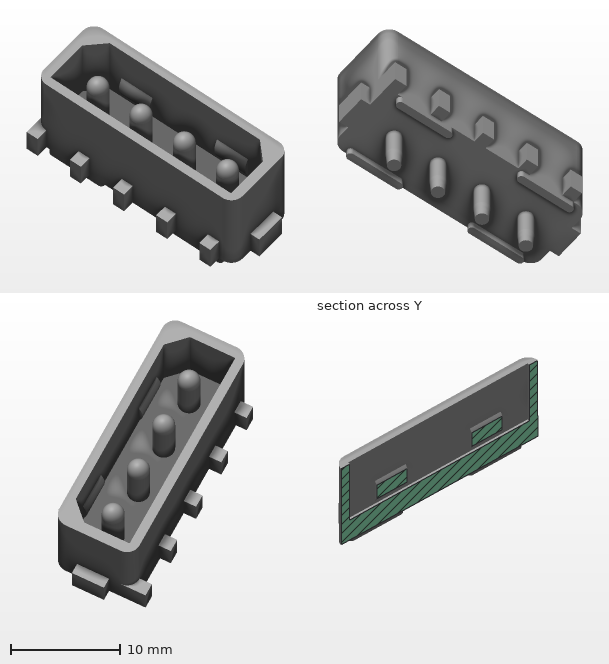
import cadquery as cq
import math

shroud_length = 23.32
shroud_width = 8.25
shroud_height = 9.5
corner_radius = 1.3
floor_thickness = 2.55

cavity_length = 21.23
cavity_width = 6.45
key_chamfer = 1.78

ear_reach = 1.05
ear_width = 3.3
tab_count = 5
tab_width = 1.3
tab_reach = 1.27

foot_length = 6.35
foot_width = 0.8
foot_height = 0.75
foot_offset_x = 7.0

latch_length = 3.63
latch_offset_x = 5.61
latch_radius = 2.0
latch_projection = 0.4
latch_center_z = 4.15

pin_count = 4
pitch = 5.08
contact_radius = 2.1 / 2
contact_center_z = 7.15
tail_radius = 0.8
tail_tip_radius = 0.65
tail_length = 4.22
tail_taper_length = 1.55
sleeve_radius = 3.23 / 2

pin_positions = [((i - (pin_count - 1) / 2) * pitch, 0) for i in range(pin_count)]


def make_shell():
    """Rounded block with the keyed cavity cut from the top."""
    shell = (
        cq.Workplane("XY")
        .rect(shroud_length, shroud_width)
        .extrude(shroud_height)
        .edges("|Z")
        .fillet(corner_radius)
    )
    cavity = (
        cq.Workplane("XY", origin=(0, 0, floor_thickness))
        .rect(cavity_length, cavity_width)
        .extrude(shroud_height - floor_thickness)
        .edges("|Z and >Y")
        .chamfer(key_chamfer)
    )
    return shell.cut(cavity)


def make_ears():
    """One bar across the floor, so that its ends stand out as the two ears."""
    return (
        cq.Workplane("XY")
        .rect(shroud_length + 2 * ear_reach, ear_width)
        .extrude(floor_thickness)
    )


def make_tabs():
    """Row of tabs at the pin pitch; the first one squares off the -X corner."""
    root_depth = corner_radius
    center_y = -shroud_width / 2 + (root_depth - tab_reach) / 2
    first_x = -shroud_length / 2 + tab_width / 2
    return (
        cq.Workplane("XY")
        .pushPoints([(first_x + i * pitch, center_y) for i in range(tab_count)])
        .rect(tab_width, root_depth + tab_reach)
        .extrude(floor_thickness)
    )


def make_feet():
    """Four standoff feet, flush with the two long sides."""
    foot_offset_y = (shroud_width - foot_width) / 2
    return (
        cq.Workplane("XY")
        .rect(2 * foot_offset_x, 2 * foot_offset_y, forConstruction=True)
        .vertices()
        .slot2D(foot_length, foot_width)
        .extrude(-foot_height)
    )


def make_latch(center_x, side):
    """Latch ridge on the +Y wall (side = 1) or the -Y wall (side = -1)."""
    wall_y = side * cavity_width / 2
    crest_y = side * (cavity_width / 2 - latch_projection)
    half_height = math.sqrt(latch_radius**2 - (latch_radius - latch_projection) ** 2)
    return (
        cq.Workplane("YZ", origin=(center_x - latch_length / 2, 0, 0))
        .moveTo(wall_y, latch_center_z - half_height)
        .threePointArc((crest_y, latch_center_z), (wall_y, latch_center_z + half_height))
        .close()
        .extrude(latch_length)
    )


def make_housing():
    """Shroud with ears, tabs, feet and latches, bored for the sleeves."""
    housing = make_shell().union(make_ears()).union(make_tabs()).union(make_feet())
    for center_x in (-latch_offset_x, latch_offset_x):
        for side in (-1, 1):
            housing = housing.union(make_latch(center_x, side))
    bores = cq.Workplane("XY").pushPoints(pin_positions).circle(sleeve_radius).extrude(floor_thickness)
    return housing.cut(bores)


def make_sleeve(x, y):
    """Ring through the floor, flush with its two faces, around one pin."""
    return (
        cq.Workplane("XY", origin=(x, y, 0))
        .circle(sleeve_radius)
        .circle(contact_radius)
        .extrude(floor_thickness)
    )


def make_pin(x, y):
    """Ball-ended contact above a thinner tail with a tapered tip, revolved about Z."""
    taper_start_z = -tail_length + tail_taper_length
    ball_mid = contact_radius * math.sqrt(0.5)
    return (
        cq.Workplane("XZ", origin=(x, y, 0))
        .moveTo(0, -tail_length)
        .lineTo(tail_tip_radius, -tail_length)
        .lineTo(tail_radius, taper_start_z)
        .lineTo(tail_radius, 0)
        .lineTo(contact_radius, 0)
        .lineTo(contact_radius, contact_center_z)
        .threePointArc((ball_mid, contact_center_z + ball_mid), (0, contact_center_z + contact_radius))
        .close()
        .revolve(360, (0, 0), (0, 1))
    )


housing = make_housing()
sleeves = [make_sleeve(x, y) for x, y in pin_positions]
pins = [make_pin(x, y) for x, y in pin_positions]

result = cq.Compound.makeCompound(
    [housing.val(), *[sleeve.val() for sleeve in sleeves], *[pin.val() for pin in pins]]
)